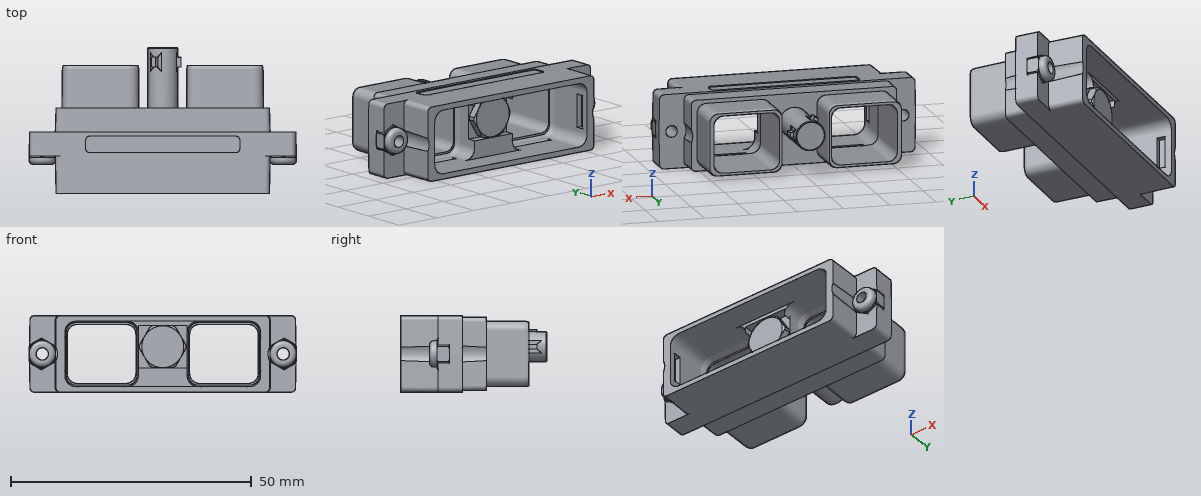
import cadquery as cq
import math


hexagon_flats_to_corners = 1 / math.cos(math.pi / 6)

body_height = 15.93
rear_body_height = 15.23
body_half_width_at_flange = 22.32
body_half_width_at_end = 22.17
flange_front_y = 7.76
flange_rear_y = 12.8
body_rear_y = 17.8
flange_half_width = 27.7
flange_half_width_at_edges = 27.57
outer_corner_radius = 1.0

cavity_width = 40.68
cavity_height = 13.6
cavity_corner_radius = 2.35
web_width = 10.1
web_front_y = 5.75
cavity_rear_y = 10.5
taper_rear_y = 12.0
taper_inset = 0.3
window_width = (cavity_width - web_width) / 2
window_centre_x = (web_width + window_width) / 2
window_side_inset = 0.55
window_floor_inset = 0.7
window_corner_radius = 2.0
latch_front_y = 8.4
latch_rear_y = 9.5
latch_depth = 0.3
latch_width = 9.7
wall_slot_front_y = 1.5
wall_slot_rear_y = 3.3
wall_slot_height = 7.1
wall_slot_depth = 1.15

sleeve_inner_x = 4.95
sleeve_outer_x_at_body = 21.0
sleeve_outer_x_at_end = 20.85
sleeve_height = 13.6
sleeve_corner_radius = 2.0
sleeve_rear_y = 26.6
sleeve_chamfer_length = 0.7
sleeve_chamfer_inset = 0.15

bolt_z = 1.5
bolt_flats = 8.7
bolt_corner_diameter = 9.65
bolt_chamfer_height = 0.3
bolt_front_y = 5.95
bolt_recess_rear_y = 7.75
bolt_recess_height = 8.9
spigot_diameter = 6.3
spigot_rear_y = 30.35
spigot_chamfer = 0.2
lug_angles = (0, 120)
lug_reach = 3.8
lug_width = 1.0
lug_front_y = 26.25
lug_rear_y = 28.3
lug_flat_distance = 2.86
lug_flat_length = 3.9

nut_spacing = 50.0
nut_flats = 5.5
nut_corner_diameter = nut_flats * hexagon_flats_to_corners
nut_corner_chamfer = 0.22
nut_front_y = 6.0
nut_hex_front_y = 7.5
nut_rear_y = 10.14
nut_nose_radius = 0.9
nut_bore = 2.5
nut_corner_turn = 30
nut_pocket_flats = 5.7
nut_pocket_shift = 0.2
side_groove_radius = 3.15

label_width = 32.0
label_front_y = 8.5
label_rear_y = 11.9
label_corner_radius = 0.8
label_depth = 0.2


def xz_plane(y, x=0, z=0):
    """Workplane at position y whose local axes are X and Z; extrusion runs toward +Y."""
    return cq.Workplane(cq.Plane(origin=(x, y, z), xDir=(-1, 0, 0), normal=(0, 1, 0)))


def box(x_min, x_max, y_min, y_max, z_min, z_max):
    size = (x_max - x_min, y_max - y_min, z_max - z_min)
    return cq.Workplane("XY").box(*size, centered=False).translate((x_min, y_min, z_min))


def rounded_bar(width, height, radius, y_min, y_max, x=0):
    bar = xz_plane(y_min, x).rect(width, height).extrude(y_max - y_min)
    return bar.edges("|Y").fillet(radius)


def hexagon_bar(flats, y_min, y_max, x, z, corner_turn):
    """Hexagonal prism along Y; corner_turn is the angle of its first corner from the X axis."""
    corner_diameter = flats * hexagon_flats_to_corners
    bar = xz_plane(y_min, x, z).polygon(6, corner_diameter).extrude(y_max - y_min)
    return bar.rotate((x, 0, z), (x, 1, z), corner_turn)


def drafted_bar(half_width_front, half_width_rear, y_front, y_rear, height):
    """Bar whose ends lean inward from one face to the other, with rounded long edges."""
    outline = [
        (-half_width_front, y_front),
        (half_width_front, y_front),
        (half_width_rear, y_rear),
        (-half_width_rear, y_rear),
    ]
    bar = cq.Workplane("XY").polyline(outline).close().extrude(height / 2, both=True)
    return bar.faces("<Z or >Z").edges("not |X").fillet(outer_corner_radius)


def make_flange():
    half_height = body_height / 2
    outline = [
        (-flange_half_width_at_edges, -half_height),
        (flange_half_width_at_edges, -half_height),
        (flange_half_width, 0),
        (flange_half_width_at_edges, half_height),
        (-flange_half_width_at_edges, half_height),
        (-flange_half_width, 0),
    ]
    flange = xz_plane(flange_front_y).polyline(outline).close().extrude(flange_rear_y - flange_front_y)
    return flange.edges("|Y").edges("<Z or >Z").fillet(outer_corner_radius)


def make_sleeve(side):
    """Drafted sleeve behind one window; side is -1 or +1 along X."""
    outline = [
        (side * sleeve_inner_x, cavity_rear_y),
        (side * sleeve_outer_x_at_body, cavity_rear_y),
        (side * sleeve_outer_x_at_end, sleeve_rear_y),
        (side * sleeve_inner_x, sleeve_rear_y),
    ]
    sleeve = cq.Workplane("XY").polyline(outline).close().extrude(sleeve_height / 2, both=True)
    sleeve = sleeve.faces("<Z or >Z").edges("not |X").fillet(sleeve_corner_radius)
    return sleeve.faces(">Y").chamfer(sleeve_chamfer_length, sleeve_chamfer_inset)


def make_window(side):
    """Tapered and stepped opening through the web, body and one sleeve."""
    centre = side * window_centre_x
    bar = rounded_bar(window_width, cavity_height, cavity_corner_radius, 0, taper_rear_y, centre)
    entry = bar.faces(">Y").chamfer(taper_rear_y - cavity_rear_y, taper_inset)
    passage = rounded_bar(
        window_width - 2 * window_side_inset,
        cavity_height - 2 * window_floor_inset,
        window_corner_radius,
        cavity_rear_y,
        sleeve_rear_y,
        centre,
    )
    return entry.union(passage)


def make_latch_notch(side):
    """Wedge cut in the window floor, deepest at its front and rising to nothing at the rear."""
    floor_z = -cavity_height / 2
    profile = [
        (latch_front_y, floor_z),
        (latch_front_y, floor_z - latch_depth),
        (latch_rear_y, floor_z),
    ]
    notch = cq.Workplane("YZ").polyline(profile).close().extrude(latch_width / 2, both=True)
    return notch.translate((side * window_centre_x, 0, 0))


def make_wall_slot(side):
    """Blind slot in the inner face of one cavity end wall."""
    wall_x = cavity_width / 2
    length = wall_slot_rear_y - wall_slot_front_y
    slot = cq.Workplane("XY").box(2 * wall_slot_depth, length, wall_slot_height)
    return slot.translate((side * wall_x, wall_slot_front_y + length / 2, 0))


def make_bolt_head():
    head = hexagon_bar(bolt_flats, bolt_front_y, bolt_recess_rear_y, 0, bolt_z, 0)
    length = bolt_recess_rear_y - bolt_front_y
    envelope = xz_plane(bolt_front_y, 0, bolt_z).circle(bolt_corner_diameter / 2).extrude(length)
    bevel_inset = (bolt_corner_diameter - bolt_flats) / 2
    envelope = envelope.faces("<Y").chamfer(bolt_chamfer_height, bevel_inset)
    return head.intersect(envelope)


def make_lug(angle):
    """Radial bayonet lug and the bow-tie flat cut either side of it."""
    lug = box(0, lug_reach, lug_front_y, lug_rear_y, -lug_width / 2, lug_width / 2)
    middle_y = (lug_front_y + lug_rear_y) / 2
    half_waist = (lug_rear_y - lug_front_y) / 2
    half_end = lug_flat_length / 2
    half_span = spigot_diameter / 2
    half_chord = math.sqrt(half_span ** 2 - lug_flat_distance ** 2)
    inner_z = lug_width / 2
    flats = cq.Workplane("XY")
    for direction in (-1, 1):
        outline = [
            (direction * inner_z, middle_y - half_waist),
            (direction * half_chord, middle_y - half_end),
            (direction * half_chord, middle_y + half_end),
            (direction * inner_z, middle_y + half_waist),
        ]
        plane = cq.Plane(origin=(lug_flat_distance, 0, 0), xDir=(0, 0, -1), normal=(1, 0, 0))
        flats = flats.add(cq.Workplane(plane).polyline(outline).close().extrude(half_span))

    def place(shape):
        return shape.rotate((0, 0, 0), (0, 1, 0), -angle).translate((0, 0, bolt_z))

    return place(lug), place(flats.combine())


def make_spigot():
    length = spigot_rear_y - bolt_recess_rear_y
    spigot = xz_plane(bolt_recess_rear_y, 0, bolt_z).circle(spigot_diameter / 2).extrude(length)
    spigot = spigot.faces(">Y").chamfer(spigot_chamfer)
    for angle in lug_angles:
        lug, flats = make_lug(angle)
        spigot = spigot.cut(flats).union(lug)
    return spigot


def make_nut(x):
    """Hexagonal nut with trimmed corners and a round nose."""
    hexagon = hexagon_bar(nut_flats, nut_hex_front_y, nut_rear_y, x, 0, nut_corner_turn)
    length = nut_rear_y - nut_hex_front_y
    envelope = xz_plane(nut_hex_front_y, x).circle(nut_corner_diameter / 2).extrude(length)
    envelope = envelope.faces("|Y").edges().chamfer(nut_corner_chamfer)
    nose = xz_plane(nut_front_y, x).circle(nut_flats / 2).extrude(nut_rear_y - nut_front_y)
    nose = nose.faces("<Y").edges().fillet(nut_nose_radius)
    return hexagon.intersect(envelope).union(nose)


def make_label_recess():
    length = label_rear_y - label_front_y
    recess = cq.Workplane("XY").box(label_width, length, 2 * label_depth)
    recess = recess.edges("|Z").fillet(label_corner_radius)
    return recess.translate((0, label_front_y + length / 2, body_height / 2))


sides = (-1, 1)
shell = drafted_bar(body_half_width_at_end, body_half_width_at_flange, 0, flange_front_y, body_height)
shell = shell.union(
    drafted_bar(
        body_half_width_at_flange, body_half_width_at_end,
        flange_rear_y, body_rear_y, rear_body_height,
    )
)
for side in sides:
    groove = xz_plane(0, side * nut_spacing / 2).circle(side_groove_radius).extrude(body_rear_y)
    shell = shell.cut(groove)
shell = shell.union(make_flange())
for side in sides:
    shell = shell.union(make_sleeve(side))

shell = shell.cut(rounded_bar(cavity_width, cavity_height, cavity_corner_radius, 0, web_front_y))
for side in sides:
    shell = shell.cut(make_window(side)).cut(make_latch_notch(side)).cut(make_wall_slot(side))
shell = shell.cut(
    box(
        -web_width / 2, web_width / 2,
        web_front_y, bolt_recess_rear_y,
        bolt_z - bolt_recess_height / 2, bolt_z + bolt_recess_height / 2,
    )
)
shell = shell.cut(make_label_recess())

shell = shell.union(make_bolt_head()).union(make_spigot())
for side in sides:
    nut_x = side * nut_spacing / 2
    pocket_x = nut_x + side * nut_pocket_shift
    pocket = hexagon_bar(nut_pocket_flats, flange_front_y, nut_rear_y, pocket_x, 0, nut_corner_turn)
    shell = shell.cut(pocket)
    shell = shell.union(make_nut(nut_x))
    bore = xz_plane(nut_front_y, nut_x).circle(nut_bore / 2).extrude(flange_rear_y - nut_front_y)
    shell = shell.cut(bore)

result = shell